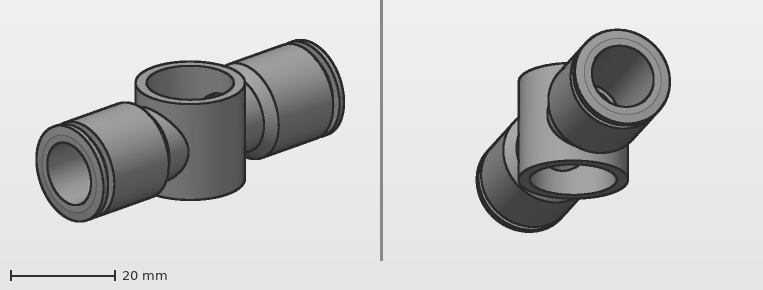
import cadquery as cq

total_length = 62.8
end_y = total_length / 2

hub_diameter = 21.0
hub_bore_diameter = 16.7
hub_height = 20.0

body_radius = 19.1 / 2
neck_radius = 15.1 / 2
sleeve_radius = 15.45 / 2
flange_thickness = 1.4
flange_face_slope = 0.2
groove_width = 1.65
body_length = 14.1
shoulder_length = 2.0

tube_bore_radius = 12.45 / 2
through_bore_radius = 10.4 / 2
tube_bore_depth = 22.0

flange_inner_y = end_y - flange_thickness
body_outer_y = flange_inner_y - groove_width
body_inner_y = body_outer_y - body_length
shoulder_inner_y = body_inner_y - shoulder_length
tube_stop_y = end_y - tube_bore_depth


def revolve_about_y(points):
    """Revolve a closed (radius, y) outline about the Y axis."""
    return cq.Workplane("XY").polyline(points).close().revolve(360, (0, 0, 0), (0, 1, 0))


def make_arm():
    """Solid arm on +Y: neck, conical shoulder, body, groove and end flange."""
    return revolve_about_y([
        (0, 0),
        (neck_radius, 0),
        (neck_radius, shoulder_inner_y),
        (body_radius, body_inner_y),
        (body_radius, body_outer_y),
        (sleeve_radius, body_outer_y),
        (sleeve_radius, flange_inner_y),
        (body_radius, flange_inner_y),
        (body_radius, end_y - flange_face_slope),
        (sleeve_radius, end_y),
        (0, end_y),
    ])


def make_arm_bore():
    """Stepped bore on +Y: narrow passage opening into the tube socket."""
    return revolve_about_y([
        (0, 0),
        (through_bore_radius, 0),
        (through_bore_radius, tube_stop_y),
        (tube_bore_radius, tube_stop_y),
        (tube_bore_radius, end_y),
        (0, end_y),
    ])


def upright_cylinder(diameter):
    """Cylinder on the Z axis, as tall as the hub and centred on the origin."""
    return cq.Workplane("XY").circle(diameter / 2).extrude(hub_height / 2, both=True)


arm = make_arm()
arm_bore = make_arm_bore()

result = upright_cylinder(hub_diameter).union(arm).union(arm.mirror("XZ"))
result = result.cut(arm_bore).cut(arm_bore.mirror("XZ"))
result = result.cut(upright_cylinder(hub_bore_diameter))